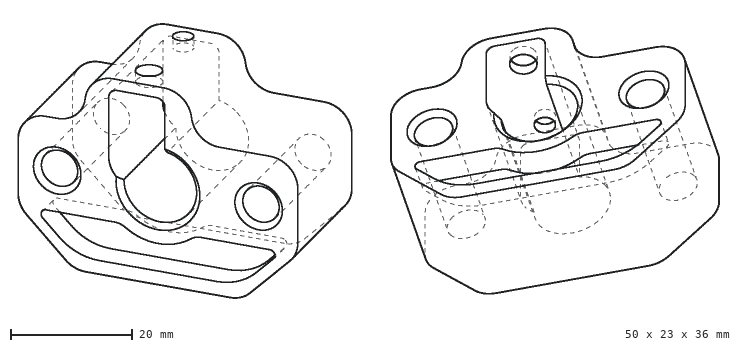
import cadquery as cq
import math

width = 50.0
depth = 23.0
height = 36.0
half_width = width / 2
corner_radius = 5.0
bottom_chamfer = 10.0

shoulder_z = 27.0
hump_x = -3.5
hump_flat_half = 4.5
hump_curve_run = 5.0
hump_curve_rise = (height - shoulder_z) / 2

bore_z = 17.5
bore_diameter = 13.0
side_hole_diameter = 6.5
side_hole_x = 18.0
countersink = 1.0

slot_x = -3.8
slot_width = 10.0
slot_roof_thickness = 2.0
slot_top_z = height - slot_roof_thickness
slot_round_z = 21.75
slot_corner_radius = 1.5

roof_holes = [(4.5, 5.25), (3.5, 19.75)]

pocket_depth = 5.0
pocket_floor_z = 2.5
pocket_roof_z = 10.0
pocket_wall = 2.0
pocket_tip_radius = 0.9
pocket_low_radius = 10.0
pocket_relief_radius = 10.0
pocket_relief_fillet = 3.0

select_margin = 1.0


def front_plane():
    """Sketch plane on the front face: local x is X, local y is Z, normal is -Y."""
    return cq.Workplane("XZ")


def make_block():
    arc_radius = (hump_curve_run**2 + hump_curve_rise**2) / (2 * hump_curve_rise)
    flat_left = hump_x - hump_flat_half
    flat_right = hump_x + hump_flat_half
    mid_left = flat_left - hump_curve_run
    mid_right = flat_right + hump_curve_run
    mid_z = height - hump_curve_rise
    block = (
        front_plane()
        .moveTo(-half_width + bottom_chamfer, 0)
        .lineTo(half_width - bottom_chamfer, 0)
        .lineTo(half_width, bottom_chamfer)
        .lineTo(half_width, shoulder_z)
        .lineTo(mid_right + hump_curve_run, shoulder_z)
        .radiusArc((mid_right, mid_z), arc_radius)
        .radiusArc((flat_right, height), -arc_radius)
        .lineTo(flat_left, height)
        .radiusArc((mid_left, mid_z), -arc_radius)
        .radiusArc((mid_left - hump_curve_run, shoulder_z), arc_radius)
        .lineTo(-half_width, shoulder_z)
        .lineTo(-half_width, bottom_chamfer)
        .close()
        .extrude(-depth)
    )
    lower_edges = cq.selectors.BoxSelector(
        (-width, 0, -select_margin), (width, depth, bottom_chamfer + select_margin)
    )
    outer_edges = block.edges("|Y").edges("<X or >X")
    return block.edges("|Y").edges(lower_edges).add(outer_edges).fillet(corner_radius)


def make_countersunk_hole(x, diameter):
    radius = diameter / 2
    hole = front_plane().center(x, bore_z).circle(radius).extrude(-depth)
    cone = cq.Solid.makeCone(
        radius + countersink, radius, countersink,
        pnt=cq.Vector(x, 0, bore_z), dir=cq.Vector(0, 1, 0),
    )
    return hole.union(cq.Workplane(cone))


def make_slot():
    slot_height = slot_top_z - slot_round_z
    upper = (
        front_plane()
        .center(slot_x, slot_round_z + slot_height / 2)
        .rect(slot_width, slot_height)
        .extrude(-depth)
        .edges("|Y and >Z")
        .fillet(slot_corner_radius)
    )
    lower = front_plane().center(slot_x, slot_round_z).circle(slot_width / 2).extrude(-depth)
    return upper.union(lower)


def make_roof_hole(diameter, y):
    return (
        cq.Workplane("XY", origin=(slot_x, y, slot_round_z))
        .circle(diameter / 2)
        .extrude(height - slot_round_z)
    )


def make_pocket():
    slope_offset = half_width - bottom_chamfer - pocket_wall * math.sqrt(2)
    floor_half = slope_offset + pocket_floor_z
    roof_half = slope_offset + pocket_roof_z
    relief_half = math.sqrt(pocket_relief_radius**2 - (bore_z - pocket_roof_z) ** 2)
    pocket = (
        front_plane()
        .moveTo(-floor_half, pocket_floor_z)
        .lineTo(floor_half, pocket_floor_z)
        .lineTo(roof_half, pocket_roof_z)
        .lineTo(relief_half, pocket_roof_z)
        .threePointArc((0, bore_z - pocket_relief_radius), (-relief_half, pocket_roof_z))
        .lineTo(-roof_half, pocket_roof_z)
        .close()
        .extrude(-pocket_depth)
    )
    pocket = pocket.edges("|Y and <Z").fillet(pocket_low_radius)
    relief_edges = cq.selectors.BoxSelector(
        (-relief_half - select_margin, 0, pocket_roof_z - select_margin),
        (relief_half + select_margin, depth, pocket_roof_z + select_margin),
    )
    pocket = pocket.edges("|Y").edges(relief_edges).fillet(pocket_relief_fillet)
    return pocket.edges("|Y").edges("<X or >X").fillet(pocket_tip_radius)


result = make_block()
result = result.cut(make_countersunk_hole(0, bore_diameter))
for side_x in (-side_hole_x, side_hole_x):
    result = result.cut(make_countersunk_hole(side_x, side_hole_diameter))
result = result.cut(make_slot())
for hole_diameter, hole_y in roof_holes:
    result = result.cut(make_roof_hole(hole_diameter, hole_y))
result = result.cut(make_pocket())